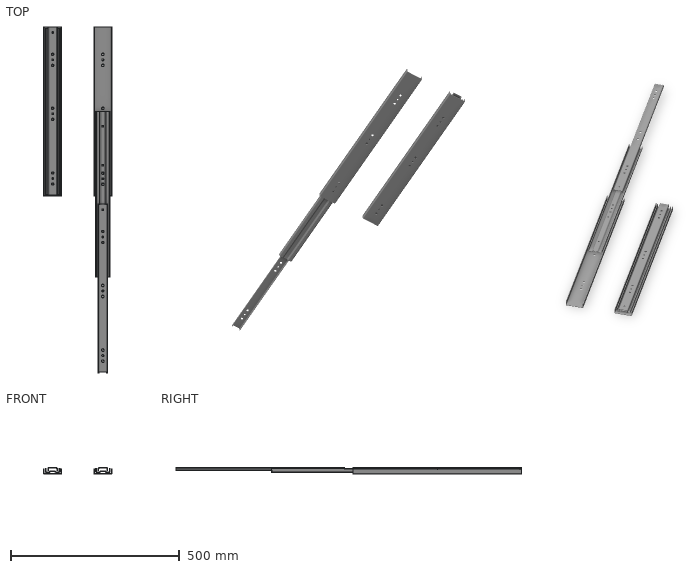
import cadquery as cq
slide_centre = 74.3
extended_front = 0.0
rail_length = 500.0
middle_length = 491.0
rear = 1025.0
closed_front = rear - rail_length
middle_setback = 4.0
middle_extended_front = 284.0

outer_width = 53.0
outer_height = 15.0
outer_sheet = 1.5
outer_bend = 2.6

middle_width = 42.0
middle_bottom = 5.0
middle_top = 16.0
middle_sheet = 1.5
middle_bend = 3.6
hat_top_half = 6.7
hat_foot_half = 11.0
hat_rise = 5.0
hat_crown_radius = 2.6

inner_width = 28.0
inner_bottom = 11.0
inner_top = 19.0
inner_sheet = 1.5
inner_bend = 3.0
inner_web_setback = 2.0

hole_group_places = [51.0, 243.0, 403.0]
screw_hole_offset = 16.0
screw_hole_diameter = 6.7
pilot_hole_diameter = 5.0
inner_rear_hole_place = 484.0
middle_hole_places = [331.0, 447.0]
middle_group_place = 291.0
drill_length = inner_top + 10


def extrude_along_y(sketch, length):
    """Extrude an XZ sketch (whose normal is -Y) from Y = 0 to Y = length."""
    return sketch.extrude(-length)


def channel(width, height, sheet, bend, length):
    """U channel opening upward, web underside at Z = 0, front end at Y = 0."""
    block = extrude_along_y(cq.Workplane("XZ").center(0, height / 2).rect(width, height), length)
    block = block.edges("|Y and <Z").fillet(bend)
    cavity = extrude_along_y(
        cq.Workplane("XZ").center(0, sheet + height / 2).rect(width - 2 * sheet, height), length
    )
    cavity = cavity.edges("|Y and <Z").fillet(bend - sheet)
    return block.cut(cavity)


def drill(rail, places, diameter):
    """Vertical through holes on the rail's centre plane."""
    drills = cq.Workplane("XY").pushPoints([(0, place) for place in places])
    return rail.cut(drills.circle(diameter / 2).extrude(drill_length))


def drill_hole_groups(rail, places):
    """Each group is a pilot hole between two screw holes."""
    screw_places = [place + side * screw_hole_offset for place in places for side in (-1, 1)]
    rail = drill(rail, places, pilot_hole_diameter)
    return drill(rail, screw_places, screw_hole_diameter)


def hat_prism(inset):
    """Ridge with sloping sides and rounded shoulders, shrunk on its top and sides by the inset."""
    foot_half = hat_foot_half - inset
    top_half = hat_top_half - inset
    top = hat_rise - inset
    outline = [(-foot_half, 0), (foot_half, 0), (top_half, top), (-top_half, top)]
    ridge = extrude_along_y(cq.Workplane("XZ").polyline(outline).close(), middle_length)
    return ridge.edges("|Y and >Z").fillet(hat_crown_radius - inset)


def make_outer_rail():
    rail = channel(outer_width, outer_height, outer_sheet, outer_bend, rail_length)
    return drill_hole_groups(rail, hole_group_places)


def make_middle_rail():
    """Channel whose web rises into a hollow strip along its centre."""
    rail = channel(middle_width, middle_top - middle_bottom, middle_sheet, middle_bend, middle_length)
    rail = rail.union(hat_prism(0)).cut(hat_prism(middle_sheet)).translate((0, 0, middle_bottom))
    rail = drill_hole_groups(rail, [middle_group_place])
    return drill(rail, middle_hole_places, pilot_hole_diameter)


def make_inner_rail():
    """Channel turned to open downward, with its web cut back at the front end."""
    rail = channel(inner_width, inner_top - inner_bottom, inner_sheet, inner_bend, rail_length)
    rail = rail.rotate((0, 0, 0), (0, 1, 0), 180).translate((0, 0, inner_top))
    notch = cq.Workplane("XY").rect(inner_width - 2 * inner_bend, 2 * inner_web_setback)
    rail = rail.cut(notch.extrude(drill_length))
    rail = drill_hole_groups(rail, hole_group_places)
    return drill(rail, [inner_rear_hole_place], pilot_hole_diameter)


def make_slide(x, middle_front, inner_front):
    """One slide's three rails; the outer rail stays at the rear."""
    outer_rail = make_outer_rail().translate((x, closed_front, 0))
    middle_rail = make_middle_rail().translate((x, middle_front, 0))
    inner_rail = make_inner_rail().translate((x, inner_front, 0))
    return [outer_rail.val(), middle_rail.val(), inner_rail.val()]


closed_slide = make_slide(-slide_centre, closed_front + middle_setback, closed_front)
extended_slide = make_slide(slide_centre, middle_extended_front, extended_front)

result = cq.Compound.makeCompound([*closed_slide, *extended_slide])